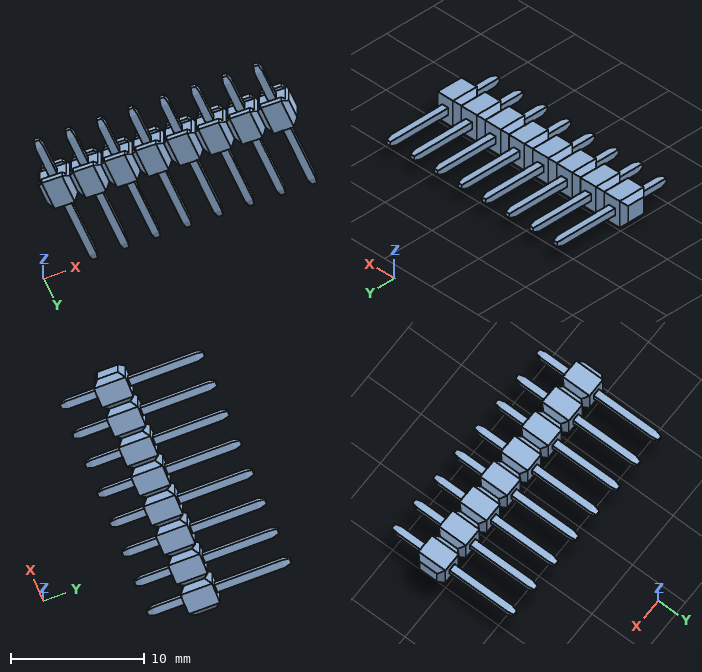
import cadquery as cq

overall_length = 20.32
position_count = 8
pitch = overall_length / position_count

body_depth = pitch
body_height = 2.5
body_chamfer = 0.45
groove_depth = 0.25
groove_height = 1.45

pin_width = 0.65
tip_width = 0.4
tip_length = 0.57
front_pin_reach = 3.0
rear_pin_reach = 6.0

body_front = -body_depth / 2
body_rear = body_depth / 2
pin_front = body_front - front_pin_reach
pin_rear = body_rear + rear_pin_reach


def make_block():
    """Block with its two X end faces chamfered all round."""
    block = cq.Workplane("XY").box(pitch, body_depth, body_height)
    return block.faces("<X or >X").edges().chamfer(body_chamfer)


def make_groove():
    """Shallow channel along the whole front (-Y) face of the row."""
    channel = cq.Workplane("XY").box(overall_length, groove_depth, groove_height)
    return channel.translate((0, body_front + groove_depth / 2, 0))


def make_tip(shank_end, tip_end):
    """Square taper from the pin shank to its blunt end."""
    outward = (0, tip_end - shank_end, 0)
    shank_plane = cq.Plane(origin=(0, shank_end, 0), xDir=(1, 0, 0), normal=outward)
    return (
        cq.Workplane(shank_plane)
        .rect(pin_width, pin_width)
        .workplane(offset=tip_length)
        .rect(tip_width, tip_width)
        .loft(ruled=True)
    )


def make_pin():
    """Straight square shank with a tapered tip at each end."""
    shank_front = pin_front + tip_length
    shank_rear = pin_rear - tip_length
    shank = cq.Workplane("XY").box(pin_width, shank_rear - shank_front, pin_width)
    shank = shank.translate((0, (shank_front + shank_rear) / 2, 0))
    return shank.union(make_tip(shank_front, pin_front)).union(make_tip(shank_rear, pin_rear))


def repeat_along_row(shape):
    """Copies of one shape, centred on every position of the row."""
    first_x = (pitch - overall_length) / 2
    row = shape.translate((first_x, 0, 0))
    for index in range(1, position_count):
        row = row.union(shape.translate((first_x + index * pitch, 0, 0)))
    return row


body = repeat_along_row(make_block()).cut(make_groove())
pins = repeat_along_row(make_pin())
result = body.union(pins)